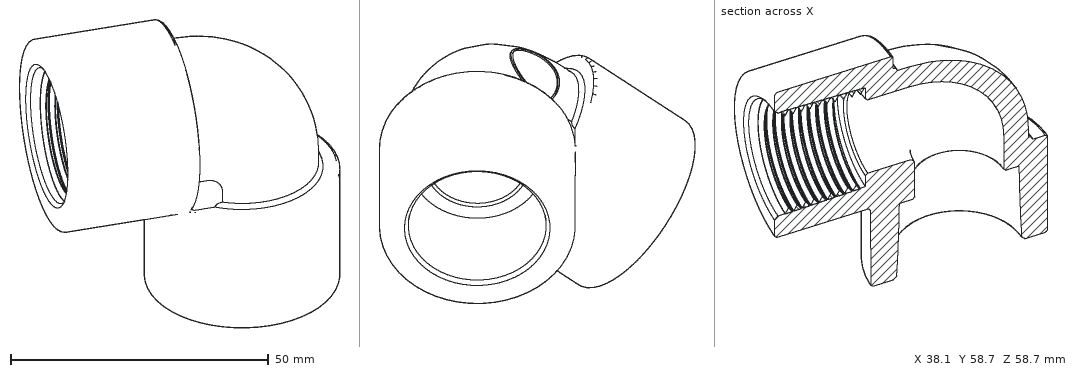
import cadquery as cq
import math

socket_diameter = 38.1
face_distance = 39.65
socket_length = 25.5
mouth_round = 0.8
back_round = 0.6
miter_fillet = 0.7
neck_overlap = 0.3

elbow_radius = 14.9
neck_flare = 0.85
bend_radius = 10.9
web_half_width = 12.7
web_reach = 7.0

flow_diameter = 19.05
flow_chamfer = 0.5

thread_pitch = 25.4 / 14
taper_slope = 1 / 32
thread_root_radius = 13.4
port_depth = 19.5
mouth_chamfer = 0.75
ridge_height = 1.2
ridge_crest_width = 0.15
ridge_base_width = 0.9 * thread_pitch
ridge_embed = 0.1
coil_length = 16.5
coil_setback = 0.6

badge_half_width = 5.7
badge_half_height = 7.45
badge_line = 0.35
badge_raise = 0.3
badge_offset = -2.6

socket_radius = socket_diameter / 2
socket_back = face_distance - socket_length
flow_radius = flow_diameter / 2
shoulder = face_distance - port_depth
coil_front = face_distance - mouth_chamfer - coil_setback - ridge_base_width / 2


def root_radius_at(distance):
    """Radius of the tapered port wall at a distance from the origin."""
    return thread_root_radius - (face_distance - mouth_chamfer - distance) * taper_slope


def to_front(part):
    """Turn a part built along +Z so that it points along -Y."""
    return part.rotate((0, 0, 0), (1, 0, 0), 90)


def to_bottom(part):
    """Turn a part built along +Z so that it points along -Z."""
    return part.rotate((0, 0, 0), (1, 0, 0), 180)


def bent_rod(radius):
    """Quarter torus about the bend axis, cut off flat where the section would cross that axis."""
    if radius > bend_radius:
        half_chord = math.sqrt(radius**2 - bend_radius**2)
        section = (
            cq.Workplane("XY")
            .moveTo(-half_chord, -bend_radius)
            .threePointArc((0, radius), (half_chord, -bend_radius))
            .close()
        )
    else:
        section = cq.Workplane("XY").circle(radius)
    bend = section.revolve(90, (0, -bend_radius, 0), (1, -bend_radius, 0))
    return bend.translate((0, 0, -bend_radius))


def make_socket():
    """Socket along +Z with rounded ends."""
    return (
        cq.Workplane("XY")
        .workplane(offset=socket_back)
        .circle(socket_radius)
        .extrude(socket_length)
        .faces(">Z").edges().fillet(mouth_round)
        .faces("<Z").edges().fillet(back_round)
    )


def make_neck():
    """Straight end of the tube along +Z, flaring out to meet the socket and ending just inside it."""
    flare_radius = elbow_radius + neck_flare
    neck_end = socket_back + neck_overlap
    return (
        cq.Workplane("XZ")
        .moveTo(0, bend_radius)
        .lineTo(elbow_radius, bend_radius)
        .lineTo(elbow_radius, socket_back - neck_flare)
        .radiusArc((flare_radius, socket_back), -neck_flare)
        .lineTo(flare_radius, neck_end)
        .lineTo(0, neck_end)
        .close()
        .revolve(360, (0, 0, 0), (0, 1, 0))
    )


def port_cavity():
    """Everything hollow in one port, along +Z: flow bore, tapered thread wall and mouth chamfer."""
    chamfer_end = face_distance - mouth_chamfer
    return (
        cq.Workplane("XZ")
        .moveTo(0, bend_radius)
        .lineTo(flow_radius, bend_radius)
        .lineTo(flow_radius, shoulder - flow_chamfer)
        .lineTo(flow_radius + flow_chamfer, shoulder)
        .lineTo(root_radius_at(shoulder), shoulder)
        .lineTo(thread_root_radius, chamfer_end)
        .lineTo(thread_root_radius + mouth_chamfer, face_distance)
        .lineTo(0, face_distance)
        .close()
        .revolve(360, (0, 0, 0), (0, 1, 0))
    )


def badge_rim():
    """Thin raised oval on the -X side of the elbow."""
    rim = (
        cq.Workplane("YZ")
        .center(badge_offset, badge_offset)
        .ellipse(badge_half_width, badge_half_height)
        .ellipse(badge_half_width - badge_line, badge_half_height - badge_line)
        .extrude(-socket_radius)
    )
    return rim.intersect(bent_rod(elbow_radius + badge_raise))


def make_web():
    """Flat-sided filler in the inner corner between the two necks."""
    corner = socket_back + neck_overlap
    return (
        cq.Workplane("YZ")
        .moveTo(-web_reach, -web_reach)
        .lineTo(-corner, -web_reach)
        .lineTo(-corner, -corner)
        .lineTo(-web_reach, -corner)
        .close()
        .extrude(web_half_width, both=True)
    )


def make_housing():
    """Elbow with a socket at each end, bored through."""
    socket = make_socket()
    neck = make_neck()
    cavity = port_cavity()
    sockets = to_front(socket).union(to_bottom(socket)).edges("%ELLIPSE").fillet(miter_fillet)
    body = sockets.union(bent_rod(elbow_radius))
    body = body.union(to_front(neck)).union(to_bottom(neck))
    body = body.union(make_web()).union(badge_rim())
    body = body.cut(to_front(cavity)).cut(to_bottom(cavity))
    return body.cut(bent_rod(flow_radius))


def make_thread_coil():
    """Tapered right-hand ridge that lines the front port."""
    start = coil_front - coil_length
    path = cq.Wire.makeHelix(
        thread_pitch, coil_length, root_radius_at(start), angle=math.degrees(math.atan(taper_slope))
    )
    root = root_radius_at(start) + ridge_embed
    crest = root_radius_at(start) - ridge_height
    section = (
        cq.Workplane("XZ")
        .moveTo(root, -ridge_base_width / 2)
        .lineTo(crest, -ridge_crest_width / 2)
        .lineTo(crest, ridge_crest_width / 2)
        .lineTo(root, ridge_base_width / 2)
        .close()
    )
    coil = section.sweep(cq.Workplane(path), isFrenet=True)
    turn = 90 - math.degrees(2 * math.pi * coil_length / thread_pitch)
    return to_front(coil.rotate((0, 0, 0), (0, 0, 1), turn).translate((0, 0, start)))


thread_coil = make_thread_coil()
housing = make_housing().cut(thread_coil).solids()

result = cq.Compound.makeCompound([housing.val(), thread_coil.val()])